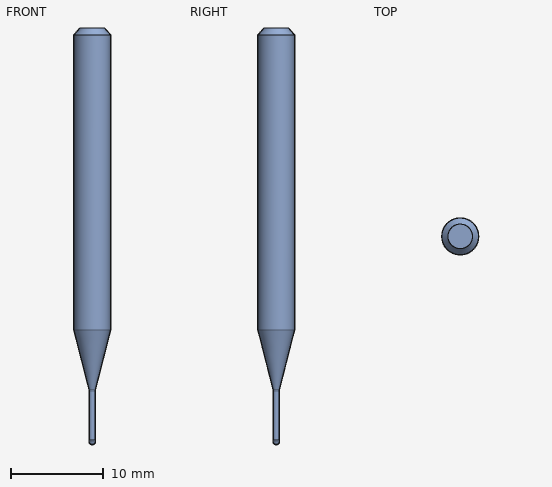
import cadquery as cq

total_length = 45.0
cutter_length = 0.55
neck_top = 5.8
cone_start = 6.0
cone_top = 12.4
chamfer_height = 0.75

shank_radius = 4.0 / 2
cutter_radius = 0.35
neck_radius = 0.338
chamfer_width = 0.68


def revolve_profile(profile):
    """Turn a closed half profile, drawn in the XZ plane, about the Z axis."""
    return profile.close().revolve(360, (0, 0, 0), (0, 1, 0))


def make_cutter():
    """Short cutting head with a full ball end."""
    arc_offset = cutter_radius * 0.5 ** 0.5
    profile = (
        cq.Workplane("XZ")
        .moveTo(0, 0)
        .threePointArc((arc_offset, cutter_radius - arc_offset), (cutter_radius, cutter_radius))
        .lineTo(cutter_radius, cutter_length)
        .lineTo(0, cutter_length)
    )
    return revolve_profile(profile)


def make_shank():
    """Slim neck, short step, taper and chamfered shank, standing on the cutter."""
    profile = (
        cq.Workplane("XZ")
        .moveTo(0, cutter_length)
        .lineTo(neck_radius, cutter_length)
        .lineTo(neck_radius, neck_top)
        .lineTo(cutter_radius, cone_start)
        .lineTo(shank_radius, cone_top)
        .lineTo(shank_radius, total_length - chamfer_height)
        .lineTo(shank_radius - chamfer_width, total_length)
        .lineTo(0, total_length)
    )
    return revolve_profile(profile)


cutter = make_cutter()
shank = make_shank()

result = cq.Compound.makeCompound([cutter.val(), shank.val()])